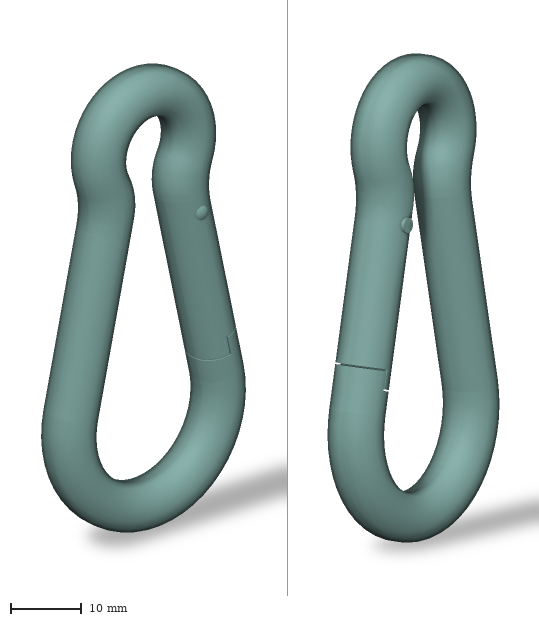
import cadquery as cq
import math

height = 69.9
body_width = 34.95
wire_depth = 7.1
wire_flat = 1.05
top_width = 23.9
neck_inner_angle = 28.0
neck_outer_angle = 20.0
leg_tilt = 13.0

pin_diameter = 2.2
pin_overhang = 0.4
pin_drop = 10.8

latch_distance = 5.1
latch_step = 2.9
latch_gap = 0.3

wire_radius = wire_depth / 2
wire_width = wire_depth + wire_flat
bottom_radius = body_width / 2 - wire_radius
top_radius = top_width / 2 - wire_radius
bottom_z = body_width / 2
top_z = height - top_width / 2
tilt = math.radians(leg_tilt)


def polar(center, radius, angle):
    """Point at an angle from +Y towards +Z around a centre in the YZ plane."""
    return (center[0] + radius * math.cos(angle), center[1] + radius * math.sin(angle))


bottom_center = (0, bottom_z)
top_center = (0, top_z)
leg_start = polar(bottom_center, bottom_radius, tilt)


def neck_points(start_degrees):
    """Start, middle and end of the neck arc tangent to both the top bend and the leg."""
    start = -math.radians(start_degrees)
    closing = math.cos(start - tilt)
    leg_offset = bottom_radius - (top_z - bottom_z) * math.sin(tilt)
    radius = (top_radius * closing - leg_offset) / (1 - closing)
    center = polar(top_center, top_radius + radius, start)
    angles = (start, (start + tilt) / 2, tilt)
    return [polar(center, -radius, angle) for angle in angles]


def mirrored(point):
    return (-point[0], point[1])


def leg_section(point):
    """Wire section centred on a point of the +Y leg and square to it."""
    direction = (0, -math.sin(tilt), math.cos(tilt))
    plane = cq.Plane(origin=(0, *point), xDir=(1, 0, 0), normal=direction)
    return cq.Workplane(plane).slot2D(wire_width, wire_depth)


def loop():
    top, middle, end = neck_points(neck_inner_angle)
    path = (
        cq.Workplane("YZ")
        .moveTo(*leg_start)
        .lineTo(*end)
        .threePointArc(middle, top)
        .threePointArc((0, top_z + top_radius), mirrored(top))
        .threePointArc(mirrored(middle), mirrored(end))
        .lineTo(*mirrored(leg_start))
        .threePointArc((0, bottom_z - bottom_radius), leg_start)
        .close()
    )
    return leg_section(leg_start).sweep(path)


def outer_neck():
    """Wire along the gentler bend, which fills the hollow side of the neck."""
    top, middle, end = neck_points(neck_outer_angle)
    path = cq.Workplane("YZ").moveTo(*end).threePointArc(middle, top)
    return leg_section(end).sweep(path)


def latch_slit():
    """Stepped gap through the gate leg, where the free end of the gate meets the hook."""
    center = polar(leg_start, latch_distance, tilt + math.pi / 2)
    along_leg = cq.Plane(
        origin=(0, *center),
        xDir=(0, math.cos(tilt), math.sin(tilt)),
        normal=(1, 0, 0),
    )
    half_step = latch_step / 2

    def bar(x, y, length, thickness):
        return (
            cq.Workplane(along_leg)
            .center(x, y)
            .rect(length, thickness)
            .extrude(wire_width, both=True)
        )

    reach = wire_depth
    shift = (reach - latch_gap) / 2
    step = bar(0, 0, latch_gap, latch_step + latch_gap)
    outer_cut = bar(shift, half_step, reach, latch_gap)
    inner_cut = bar(-shift, -half_step, reach, latch_gap)
    return step.union(outer_cut).union(inner_cut)


def hinge_pin():
    """Rivet with a flat head at -X and a domed end at +X."""
    face_x = wire_width / 2
    tip_x = face_x + pin_overhang
    radius = pin_diameter / 2
    dome_radius = (radius**2 + pin_overhang**2) / (2 * pin_overhang)
    dome_angle = math.asin(radius / dome_radius) / 2
    dome_middle = (tip_x - dome_radius * (1 - math.cos(dome_angle)), dome_radius * math.sin(dome_angle))
    pin_z = top_z - pin_drop
    pin_y = leg_start[0] - (pin_z - leg_start[1]) * math.tan(tilt)
    return (
        cq.Workplane("XY")
        .moveTo(-tip_x, 0)
        .lineTo(-tip_x, radius)
        .lineTo(face_x, radius)
        .threePointArc(dome_middle, (tip_x, 0))
        .close()
        .revolve(360, (0, 0, 0), (1, 0, 0))
        .translate((0, pin_y, pin_z))
    )


neck = outer_neck()
result = (
    loop()
    .union(neck)
    .union(neck.mirror("XZ"))
    .cut(latch_slit())
    .union(hinge_pin())
)